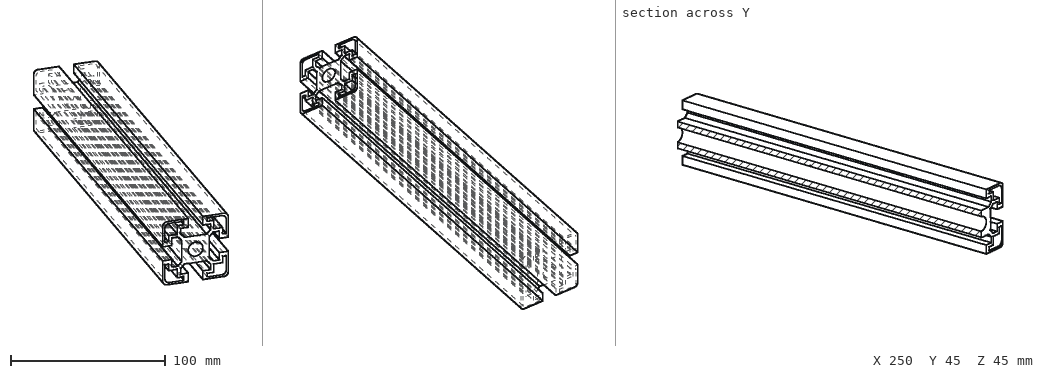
import cadquery as cq

length = 250.0
width = 45.0
corner_radius = 3.0
wall = 1.5
bore_diameter = 10.0

mouth_width = 10.0
channel_width = 20.5
lip_thickness = 6.2
core_width = 19.0
channel_chamfer = 2.8

lip_edge = 3.0
lip_floor = 2.2
web = 2.2
hollow_radius = 3.0

half = width / 2


def slot_cutter():
    """T-slot opening toward +Z."""
    mouth = mouth_width / 2
    channel = channel_width / 2
    lip_bottom = half - lip_thickness
    floor = core_width / 2
    right_side = [
        (mouth, half),
        (mouth, lip_bottom),
        (channel, lip_bottom),
        (channel, floor + channel_chamfer),
        (channel - channel_chamfer, floor),
    ]
    left_side = [(-y, z) for y, z in reversed(right_side)]
    return cq.Workplane("YZ").polyline(right_side + left_side).close().extrude(length)


def corner_hollow():
    """L-shaped hollow in the +Y +Z corner, symmetric about its diagonal."""
    outer = half - wall
    end = mouth_width / 2 + lip_edge
    step = half - lip_thickness + lip_floor
    inner = channel_width / 2 + web
    hollow = (
        cq.Workplane("YZ")
        .moveTo(end, outer)
        .lineTo(outer - hollow_radius, outer)
        .radiusArc((outer, outer - hollow_radius), hollow_radius)
        .lineTo(outer, end)
        .lineTo(step, end)
        .lineTo(step, inner)
        .lineTo(inner, inner)
        .lineTo(inner, step)
        .lineTo(end, step)
        .close()
    )
    return hollow.extrude(length)


body = (
    cq.Workplane("YZ")
    .rect(width, width)
    .extrude(length)
    .edges("|X")
    .fillet(corner_radius)
)
bore = cq.Workplane("YZ").circle(bore_diameter / 2).extrude(length)
result = body.cut(bore)

for quarter_turn in range(4):
    angle = 90 * quarter_turn
    for cutter in (slot_cutter(), corner_hollow()):
        result = result.cut(cutter.rotate((0, 0, 0), (1, 0, 0), angle))